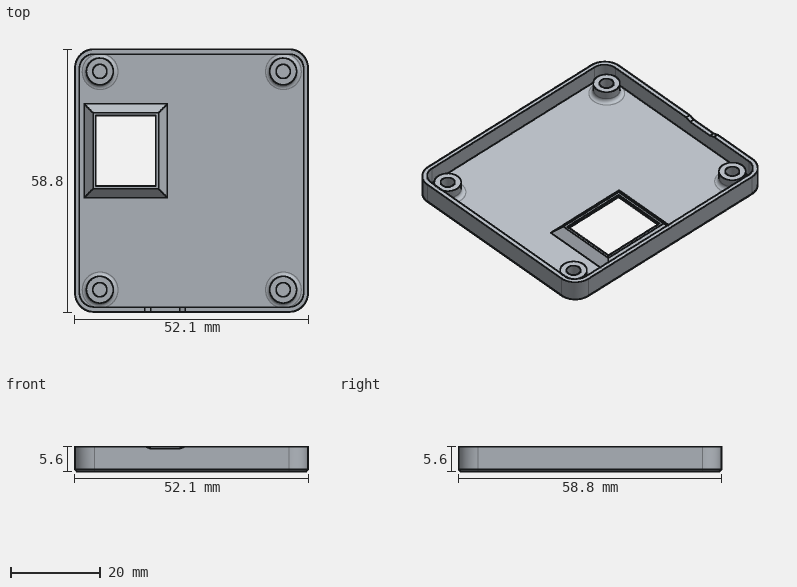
import cadquery as cq

length_x = 52.1
length_y = 58.75
height = 5.6
corner_radius = 4.3
bottom_chamfer = 0.45
wall_x = 1.0
wall_y = 1.1
inner_corner_radius = corner_radius - wall_x
floor_thickness = 1.25

boss_inset_x = 5.6
boss_inset_y = 5.0
boss_diameter = 6.0
boss_height = 2.9
boss_foot_diameter = 8.0
boss_foot_size = (boss_foot_diameter - boss_diameter) / 2
screw_hole_diameter = 3.2

window_x = -14.7
window_y = 6.65
opening_x = 13.35
opening_y = 15.7
rim_width = 0.65
frame_run = 2.0
frame_height = 1.95
opening_straight_depth = 0.7

notch_x = -5.9
notch_top_width = 9.05
notch_bottom_width = 6.4
notch_depth = 0.45


def make_tray():
    """Rounded open box with a chamfered bottom edge."""
    outer = (
        cq.Workplane("XY")
        .rect(length_x, length_y)
        .extrude(height)
        .edges("|Z")
        .fillet(corner_radius)
        .faces("<Z")
        .chamfer(bottom_chamfer)
    )
    cavity = (
        cq.Workplane("XY")
        .workplane(offset=floor_thickness)
        .rect(length_x - 2 * wall_x, length_y - 2 * wall_y)
        .extrude(height)
        .edges("|Z")
        .fillet(inner_corner_radius)
    )
    return outer.cut(cavity)


def make_boss():
    """Solid boss with a filleted foot, standing on the floor at the origin."""
    boss_radius = boss_diameter / 2
    profile = (
        cq.Workplane("XZ")
        .moveTo(0, -floor_thickness / 2)
        .lineTo(boss_foot_diameter / 2, -floor_thickness / 2)
        .lineTo(boss_foot_diameter / 2, 0)
        .radiusArc((boss_radius, boss_foot_size), boss_foot_size)
        .lineTo(boss_radius, boss_height)
        .lineTo(0, boss_height)
        .close()
    )
    return profile.revolve(360, (0, 0, 0), (0, 1, 0)).translate((0, 0, floor_thickness))


def make_window_frame():
    """Solid block with sloped sides, rising from the floor to the flat rim."""
    rim_x = opening_x + 2 * rim_width
    rim_y = opening_y + 2 * rim_width
    return (
        cq.Workplane("XY")
        .workplane(offset=floor_thickness)
        .rect(rim_x + 2 * frame_run, rim_y + 2 * frame_run)
        .workplane(offset=frame_height)
        .rect(rim_x, rim_y)
        .loft(ruled=True)
        .translate((window_x, window_y, 0))
    )


def make_window_opening():
    """Opening that is straight just below the rim, then flares at 45 degrees to the underside."""
    flare_height = floor_thickness + frame_height - opening_straight_depth
    straight = cq.Workplane("XY").rect(opening_x, opening_y).extrude(height)
    flare = (
        cq.Workplane("XY")
        .rect(opening_x + 2 * flare_height, opening_y + 2 * flare_height)
        .workplane(offset=flare_height)
        .rect(opening_x, opening_y)
        .loft(ruled=True)
    )
    return straight.union(flare).translate((window_x, window_y, 0))


def make_notch_cutter():
    """Trapezoidal notch through the thickness of the -Y wall."""
    half_top = notch_top_width / 2
    half_bottom = notch_bottom_width / 2
    return (
        cq.Workplane("XZ")
        .polyline([
            (-half_top, height),
            (-half_bottom, height - notch_depth),
            (half_bottom, height - notch_depth),
            (half_top, height),
        ])
        .close()
        .extrude(wall_y)
        .translate((notch_x, wall_y - length_y / 2, 0))
    )


def make_screw_hole():
    """Blind hole through the full boss height, ending at the floor surface."""
    return (
        cq.Workplane("XY")
        .workplane(offset=floor_thickness)
        .circle(screw_hole_diameter / 2)
        .extrude(boss_height)
    )


result = make_tray()
boss_x = length_x / 2 - boss_inset_x
boss_y = length_y / 2 - boss_inset_y
for side_x in (-1, 1):
    for side_y in (-1, 1):
        place = (side_x * boss_x, side_y * boss_y, 0)
        result = result.union(make_boss().translate(place))
        result = result.cut(make_screw_hole().translate(place))
result = result.union(make_window_frame())
result = result.cut(make_window_opening())
result = result.cut(make_notch_cutter())